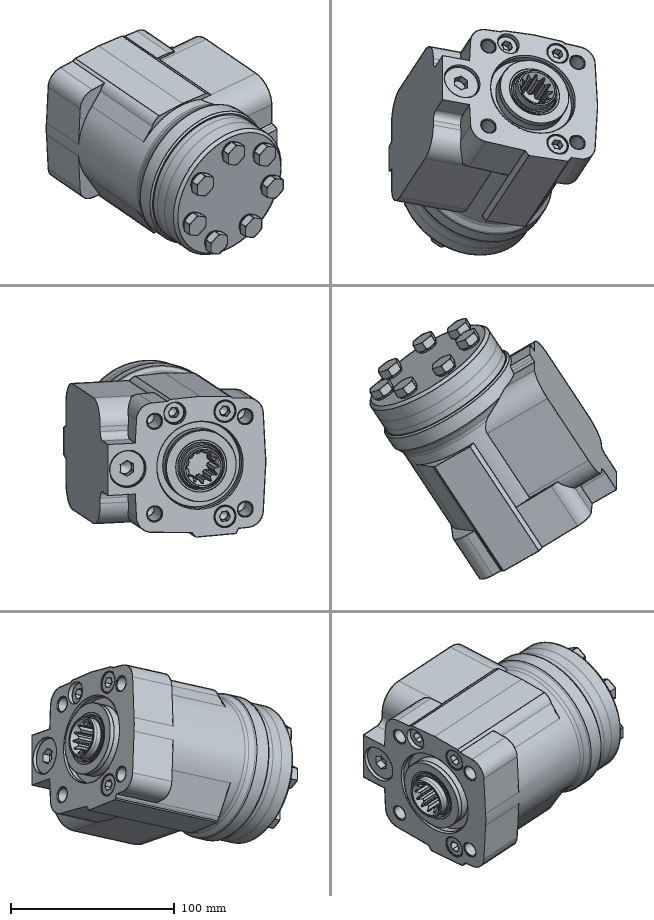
import cadquery as cq
import math


SHAFT_TIP = -7.8
COLLAR_FACE = -3.0
PLATE_REAR = 30.6
BODY_REAR = 80.1
COVER_REAR = 124.6
BOLT_END = 131.5

BARREL_R = 41.9
FLANGE_R = 45.0
STACK_R = 43.0
SWELL_START = 86.8
SWELL_BLEND_R = 4.7
SWELL_ANGLE = math.radians(30)
FLANGE_START = 93.6
FLANGE_END = 103.9
FLANGE_LEAD = 1.0
FLANGE_CHAMFER = 1.1
SPACER_END = 107.7
GEAR_RING_END = 114.3
COVER_CHAMFER = 2.0

PLATE_APEX = 41.9
PLATE_CORNER = 39.8
PLATE_CORNER_R = 10.3

ROOF_RIDGE = 42.9
ROOF_EDGE_Y = 18.7
ROOF_EDGE_Z = 41.9
ROOF_SHOULDER_MID = (22.1, 39.7)
ROOF_FLAT_ANGLE = math.radians(42.2)
ROOF_FLAT_TOP = (24.2, 36.5)
FOOT_TOE = (2.6, -44.7)
FOOT_INNER = (5.3, -41.4)
FOOT_HEEL = (-22.8, -43.7)
FOOT_HEEL_STEPS = [(-23.5, -42.9), (-23.8, -42.0)]
FOOT_OUTER = (-24.8, -40.5)
FOOT_FLAT_ANGLE = math.radians(31)

BLOCK_Y = 58.5
BLOCK_HALF_HEIGHT = 39.1
NECK_HALF_HEIGHT = 15.9
NECK_END = 12.5
NECK_FILLET = 4.9
BLOCK_CORNER_R = 15.2
BLOCK_REAR = 95.3
BLOCK_BOSS_STEPS = [(BLOCK_REAR, 9.9), (97.3, 9.6), (98.9, 9.0), (100.4, 8.2)]

RECESS_D = 53.8
RECESS_MOUTH_D = 54.9
RECESS_MOUTH_DEPTH = 1.7
RECESS_DEPTH = 5.6

MOUNT_OFFSET = 28.8
MOUNT_D = 8.9
MOUNT_MOUTH_D = 10.0
MOUNT_MOUTH_DEPTH = 0.5
MOUNT_DEPTH = 16.7
DRILL_HALF_ANGLE = math.radians(59)

SCREWS = [
    (15.9, 33.1, 2.5, 8),
    (-16.0, 32.7, 0.4, 10),
    (-16.0, -32.7, 0.4, 0),
]
SCREW_BORE_D = 13.8
SCREW_HEAD_D = 12.5
SCREW_HEX = 6.0
PLUG_Y = 45.8
PLUG_BORE_D = 23.0
PLUG_HEAD_D = 22.0
PLUG_HEX = 8.4
PLUG_DEPTH = 2.1
PLUG_TURN = 90
SOCKET_DEPTH = 4.9

BOLT_COUNT = 7
BOLT_CIRCLE_R = 31.8
BOLT_FLATS = 13.0
BOLT_NECK_D = 12.0
BOLT_NECK = 1.1
BOLT_UNDERSIDE_CHAMFER = 1.0
BOLT_TOP_CHAMFER = 0.4

COLLAR_D = 44.3
COLLAR_BORE_D = 29.7
COLLAR_MOUTH_D = 32.3
COLLAR_MOUTH_DEPTH = 0.4
LIP_GROOVE_D = 28.5
LIP_GROOVE_DEPTH = 1.4
LIP_D = 27.3
SHAFT_D = 25.3
SHAFT_TIP_D = 24.8
SHAFT_TIP_LENGTH = 2.0
SHAFT_END = PLATE_REAR
SPLINE_TEETH = 12
SPLINE_MINOR_R = 8.5
SPLINE_ROOT_R = 10.3
SPLINE_ROOT_WIDTH = 0.8
SPLINE_MOUTH_WIDTH = 2.8
SPLINE_LENGTH = 20.9
SHAFT_MOUTH_D = 22.5
SHAFT_MOUTH_DEPTH = 4.2


def section(x):
    """Workplane across the axis at x, with local x along +Y and local y along +Z."""
    return cq.Workplane("YZ", origin=(x, 0, 0))


def turned(points):
    """Solid of revolution about the X axis from (x, radius) points."""
    return cq.Workplane("XY").polyline(points).close().revolve(360, (0, 0, 0), (1, 0, 0))


def rod(diameter, start, end):
    """Cylinder on the common axis between two stations."""
    return section(start).circle(diameter / 2).extrude(end - start)


def barrel():
    """Round body that swells through a blended cone into the rear flange."""
    cone_x = SWELL_START + SWELL_BLEND_R * math.sin(SWELL_ANGLE)
    cone_r = BARREL_R + SWELL_BLEND_R * (1 - math.cos(SWELL_ANGLE))
    mid_x = SWELL_START + SWELL_BLEND_R * math.sin(SWELL_ANGLE / 2)
    mid_r = BARREL_R + SWELL_BLEND_R * (1 - math.cos(SWELL_ANGLE / 2))
    cone_end = FLANGE_START - FLANGE_LEAD
    cone_end_r = cone_r + (cone_end - cone_x) * math.tan(SWELL_ANGLE)
    return (
        cq.Workplane("XY")
        .moveTo(0, 0)
        .lineTo(0, BARREL_R)
        .lineTo(SWELL_START, BARREL_R)
        .threePointArc((mid_x, mid_r), (cone_x, cone_r))
        .lineTo(cone_end, cone_end_r)
        .lineTo(FLANGE_START, FLANGE_R)
        .lineTo(FLANGE_END - FLANGE_CHAMFER, FLANGE_R)
        .lineTo(FLANGE_END, FLANGE_R - FLANGE_CHAMFER)
        .lineTo(FLANGE_END, 0)
        .close()
        .revolve(360, (0, 0, 0), (1, 0, 0))
    )


def mounting_plate():
    """Square plate whose sides rise slightly to the middle."""
    a = PLATE_APEX
    c = PLATE_CORNER
    outline = [(a, 0), (c, c), (0, a), (-c, c), (-a, 0), (-c, -c), (0, -a), (c, -c)]
    plate = section(0).polyline(outline).close().extrude(PLATE_REAR)
    for y in (c, -c):
        for z in (c, -c):
            edge = cq.selectors.NearestToPointSelector((PLATE_REAR / 2, y, z))
            plate = plate.edges("|X").edges(edge).fillet(PLATE_CORNER_R)
    return plate


def roof():
    """Ridged top whose rounded shoulders run down flats into the barrel on both sides."""
    foot_y = BARREL_R * math.cos(ROOF_FLAT_ANGLE)
    foot_z = BARREL_R * math.sin(ROOF_FLAT_ANGLE)
    top_y, top_z = ROOF_FLAT_TOP
    mid_y, mid_z = ROOF_SHOULDER_MID
    return (
        section(0)
        .moveTo(0, 0)
        .lineTo(-foot_y, foot_z)
        .lineTo(-top_y, top_z)
        .threePointArc((-mid_y, mid_z), (-ROOF_EDGE_Y, ROOF_EDGE_Z))
        .lineTo(0, ROOF_RIDGE)
        .lineTo(ROOF_EDGE_Y, ROOF_EDGE_Z)
        .threePointArc((mid_y, mid_z), (top_y, top_z))
        .lineTo(foot_y, foot_z)
        .close()
        .extrude(BODY_REAR)
    )


def foot():
    """Pad under the barrel, with a flat that leaves the barrel tangentially on the -Y side."""
    tangent = (-BARREL_R * math.cos(FOOT_FLAT_ANGLE), -BARREL_R * math.sin(FOOT_FLAT_ANGLE))
    heel = [FOOT_HEEL, *FOOT_HEEL_STEPS, FOOT_OUTER]
    outline = [(0, 0), FOOT_INNER, FOOT_TOE, *heel, tangent]
    return section(0).polyline(outline).close().extrude(BODY_REAR)


def port_block():
    """Block beside the barrel: a narrow neck in front, a full-height middle and a stepped rear boss."""
    h = BLOCK_HALF_HEIGHT
    r = BLOCK_CORNER_R
    wall_x = NECK_END + NECK_FILLET
    bend = math.sqrt(0.5)

    half = (
        cq.Workplane("XZ")
        .moveTo(0, 0)
        .lineTo(0, NECK_HALF_HEIGHT)
        .lineTo(NECK_END, NECK_HALF_HEIGHT)
        .threePointArc(
            (NECK_END + NECK_FILLET * bend, NECK_HALF_HEIGHT + NECK_FILLET * (1 - bend)),
            (wall_x, NECK_HALF_HEIGHT + NECK_FILLET),
        )
        .lineTo(wall_x, h - r)
        .threePointArc((wall_x + r * (1 - bend), h - r * (1 - bend)), (wall_x + r, h))
        .lineTo(BLOCK_REAR - r, h)
        .threePointArc((BLOCK_REAR - r * (1 - bend), h - r * (1 - bend)), (BLOCK_REAR, h - r))
    )
    for point in BLOCK_BOSS_STEPS:
        half = half.lineTo(*point)
    half = half.lineTo(BLOCK_BOSS_STEPS[-1][0], 0).close().extrude(-BLOCK_Y)
    return half.union(half.mirror("XY"))


def bolt(y, z):
    """Hexagon head on a round neck, corners up and down, the corners chamfered at both ends."""
    head_start = COVER_REAR + BOLT_NECK
    corner_r = BOLT_FLATS / math.sqrt(3)
    head = (
        section(head_start)
        .polygon(6, 2 * corner_r)
        .extrude(BOLT_END - head_start)
        .rotate((0, 0, 0), (1, 0, 0), 90)
    )
    envelope = turned(
        [
            (head_start, 0),
            (head_start, corner_r - BOLT_UNDERSIDE_CHAMFER),
            (head_start + BOLT_UNDERSIDE_CHAMFER, corner_r),
            (BOLT_END - BOLT_TOP_CHAMFER, corner_r),
            (BOLT_END, corner_r - BOLT_TOP_CHAMFER),
            (BOLT_END, 0),
        ]
    )
    head = head.intersect(envelope)
    return head.union(rod(BOLT_NECK_D, COVER_REAR, head_start)).translate((0, y, z))


def flared_bore(diameter, mouth_diameter, mouth_depth, depth, y=0.0, z=0.0):
    """Cutter for a flat-bottomed bore in the mounting face with a conical mouth."""
    r = diameter / 2
    points = [(0, 0), (0, mouth_diameter / 2), (mouth_depth, r), (depth, r), (depth, 0)]
    return turned(points).translate((0, y, z))


def drill_point(diameter, start, y, z):
    """Cutter for the conical end of a drilled hole."""
    r = diameter / 2
    tip = start + r / math.tan(DRILL_HALF_ANGLE)
    return turned([(start, 0), (start, r), (tip, 0)]).translate((0, y, z))


def sunk_head(y, z, bore, head, depth, hex_flats, turn):
    """Cutter that leaves a bevelled head with a hexagon socket at the bottom of a bore."""
    bevel = (bore - head) / 2
    space = turned([(0, 0), (0, bore / 2), (depth + bevel, bore / 2), (depth, head / 2), (depth, 0)])
    socket = (
        section(0)
        .polygon(6, 2 * hex_flats / math.sqrt(3))
        .extrude(depth + SOCKET_DEPTH)
        .rotate((0, 0, 0), (1, 0, 0), turn)
    )
    cutter = space.union(socket).translate((0, y, z))
    return cutter.union(drill_point(hex_flats, depth + SOCKET_DEPTH, y, z))


def mounting_hole(y, z):
    hole = flared_bore(MOUNT_D, MOUNT_MOUTH_D, MOUNT_MOUTH_DEPTH, MOUNT_DEPTH, y, z)
    return hole.union(drill_point(MOUNT_D, MOUNT_DEPTH, y, z))


def end_cover():
    """Rear cover with its ring of bolts."""
    cover = rod(2 * STACK_R, GEAR_RING_END, COVER_REAR).faces(">X").chamfer(COVER_CHAMFER)
    for index in range(BOLT_COUNT):
        angle = math.radians(90) + 2 * math.pi * index / BOLT_COUNT
        cover = cover.union(bolt(BOLT_CIRCLE_R * math.cos(angle), BOLT_CIRCLE_R * math.sin(angle)))
    return cover


def make_housing():
    body = barrel()
    for part in (mounting_plate(), roof(), foot(), port_block()):
        body = body.union(part)

    recess = flared_bore(RECESS_D, RECESS_MOUTH_D, RECESS_MOUTH_DEPTH, RECESS_DEPTH)
    body = body.cut(recess.cut(rod(COLLAR_D, 0, RECESS_DEPTH)))
    body = body.cut(rod(SHAFT_D, 0, SHAFT_END))

    for y in (MOUNT_OFFSET, -MOUNT_OFFSET):
        for z in (MOUNT_OFFSET, -MOUNT_OFFSET):
            body = body.cut(mounting_hole(y, z))

    for y, z, depth, turn in SCREWS:
        body = body.cut(sunk_head(y, z, SCREW_BORE_D, SCREW_HEAD_D, depth, SCREW_HEX, turn))
    body = body.cut(sunk_head(PLUG_Y, 0, PLUG_BORE_D, PLUG_HEAD_D, PLUG_DEPTH, PLUG_HEX, PLUG_TURN))

    spacer = rod(2 * STACK_R, FLANGE_END, SPACER_END)
    gear_ring = rod(2 * STACK_R, SPACER_END, GEAR_RING_END)
    for plate in (spacer, gear_ring, end_cover()):
        body = body.union(plate, clean=False)
    return body


def make_collar():
    """Ring around the shaft, with a stepped seal lip at the front of its bore."""
    seat = COLLAR_FACE + COLLAR_MOUTH_DEPTH
    return turned(
        [
            (0, SHAFT_D / 2),
            (0, COLLAR_D / 2),
            (COLLAR_FACE, COLLAR_D / 2),
            (COLLAR_FACE, COLLAR_MOUTH_D / 2),
            (seat, COLLAR_MOUTH_D / 2),
            (seat, COLLAR_BORE_D / 2),
            (seat + LIP_GROOVE_DEPTH, LIP_GROOVE_D / 2),
            (seat, LIP_D / 2),
            (seat, SHAFT_D / 2),
        ]
    )


def make_shaft():
    """Shaft end with a conical lead into a blind splined bore."""
    spline_end = SHAFT_TIP + SPLINE_LENGTH
    shaft = turned(
        [
            (SHAFT_TIP, SHAFT_MOUTH_D / 2),
            (SHAFT_TIP, SHAFT_TIP_D / 2),
            (SHAFT_TIP + SHAFT_TIP_LENGTH, SHAFT_D / 2),
            (SHAFT_END, SHAFT_D / 2),
            (SHAFT_END, 0),
            (spline_end, 0),
            (spline_end, SPLINE_MINOR_R),
            (SHAFT_TIP + SHAFT_MOUTH_DEPTH, SPLINE_MINOR_R),
        ]
    )
    mouth = SPLINE_MOUTH_WIDTH / 2
    root = SPLINE_ROOT_WIDTH / 2
    half_outline = [(0, mouth), (SPLINE_MINOR_R, mouth), (SPLINE_ROOT_R, root)]
    outline = half_outline + [(y, -z) for y, z in reversed(half_outline)]
    groove = section(SHAFT_TIP).polyline(outline).close().extrude(SPLINE_LENGTH)
    for index in range(SPLINE_TEETH):
        shaft = shaft.cut(groove.rotate((0, 0, 0), (1, 0, 0), 360 * index / SPLINE_TEETH))
    return shaft


housing = make_housing()
collar = make_collar()
shaft = make_shaft()

result = cq.Compound.makeCompound([housing.solids().val(), collar.val(), shaft.solids().val()])